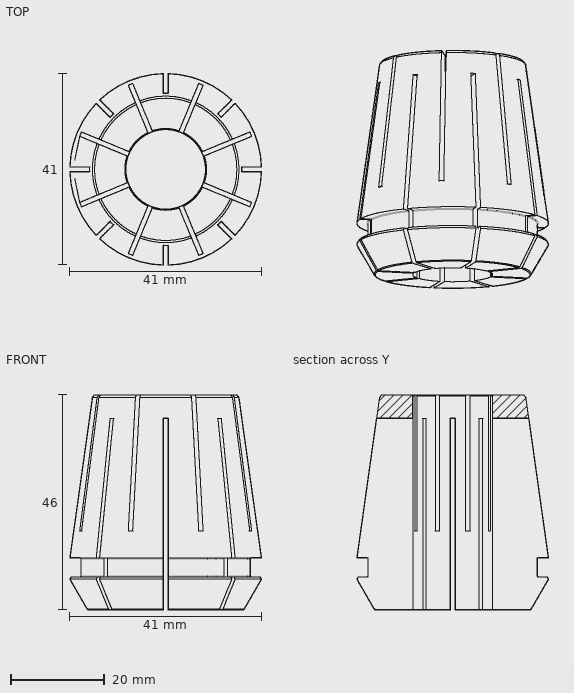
import cadquery as cq
import math

length = 46.0
max_diameter = 41.0
max_radius = max_diameter / 2
bore_radius = 8.5
taper_angle = 8.0
nose_angle = 30.0
groove_radius = 18.12
groove_bottom = 7.1
groove_top = 11.15
nose_rim_height = 6.6
rim_chamfer = 0.3
nose_edge_width = 0.15
nose_edge_height = 0.2
top_chamfer_width = 0.45
top_chamfer_height = 0.55
bore_chamfer = 0.25
groove_fillet = 0.2

slots_per_end = 8
slot_width = 1.0
lower_slot_top = 40.95
upper_slot_bottom = 16.95

slot_pitch = 360.0 / slots_per_end
cone_end_height = length - top_chamfer_height
cone_end_radius = max_radius - (cone_end_height - groove_top) * math.tan(math.radians(taper_angle))
nose_slope = math.tan(math.radians(nose_angle))
nose_radius = max_radius - nose_rim_height * nose_slope
nose_edge_radius = nose_radius + nose_edge_height * nose_slope


def collet_body():
    """Half section, drawn as radius against height and revolved about Z."""
    section = (
        cq.Workplane("XZ")
        .moveTo(bore_radius, 0)
        .lineTo(nose_radius - nose_edge_width, 0)
        .lineTo(nose_edge_radius, nose_edge_height)
        .lineTo(max_radius, nose_rim_height)
        .lineTo(max_radius - rim_chamfer, groove_bottom)
        .lineTo(groove_radius + groove_fillet, groove_bottom)
        .radiusArc((groove_radius, groove_bottom + groove_fillet), groove_fillet)
        .lineTo(groove_radius, groove_top - groove_fillet)
        .radiusArc((groove_radius + groove_fillet, groove_top), groove_fillet)
        .lineTo(max_radius, groove_top)
        .lineTo(cone_end_radius, cone_end_height)
        .lineTo(cone_end_radius - top_chamfer_width, length)
        .lineTo(bore_radius + bore_chamfer, length)
        .lineTo(bore_radius, length - bore_chamfer)
        .close()
    )
    return section.revolve(360, (0, 0, 0), (0, 1, 0))


def radial_slots(bottom, top, start_angle):
    """Blades from the axis outwards, evenly spaced, between two heights."""
    blade = (
        cq.Workplane("XY", origin=(0, 0, bottom))
        .box(max_diameter, slot_width, top - bottom, centered=(False, True, False))
    )
    slots = cq.Workplane("XY")
    for index in range(slots_per_end):
        slots = slots.add(blade.rotate((0, 0, 0), (0, 0, 1), start_angle + index * slot_pitch))
    return slots.combine()


lower_slots = radial_slots(0, lower_slot_top, 0)
upper_slots = radial_slots(upper_slot_bottom, length, slot_pitch / 2)
result = collet_body().cut(lower_slots).cut(upper_slots)